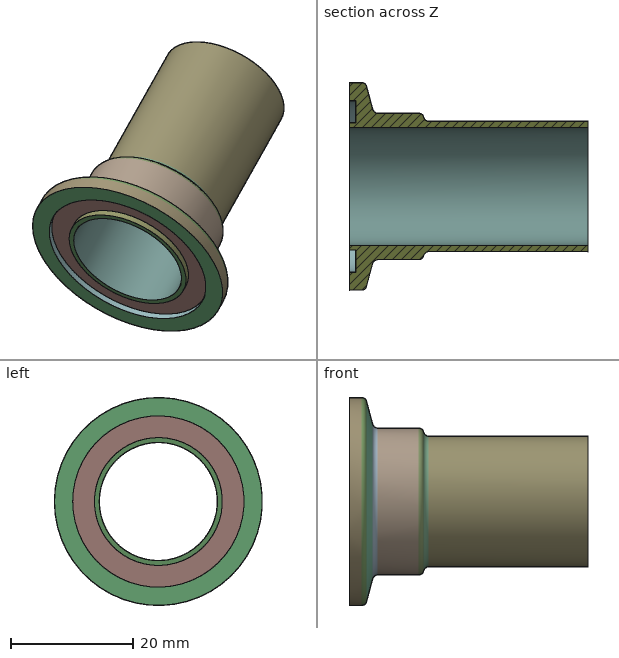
import cadquery as cq
import math

total_length = 39.0
rim_width = 2.0
shoulder_start = 11.3

flange_diameter = 34.0
hub_diameter = 24.02
tube_diameter = 21.37
bore_diameter = 19.25

recess_outer_diameter = 28.0
recess_inner_diameter = 20.9
recess_depth = 1.0

blend_radius = 0.85
back_angle = math.radians(15)

flange_radius = flange_diameter / 2
hub_radius = hub_diameter / 2
tube_radius = tube_diameter / 2


def arc_reach(angle):
    """Axial and radial extent of a blend arc that starts parallel to the axis."""
    return blend_radius * math.sin(angle), blend_radius * (1 - math.cos(angle))


back_turn = math.pi / 2 - back_angle
back_run, back_drop = arc_reach(back_turn)
cone_top = (rim_width + back_run, flange_radius - back_drop)
cone_bottom_radius = hub_radius + back_drop
cone_length = (cone_top[1] - cone_bottom_radius) * math.tan(back_angle)
cone_bottom = (cone_top[0] + cone_length, cone_bottom_radius)
hub_start = cone_bottom[0] + back_run

step_height = hub_radius - tube_radius
shoulder_turn = math.acos(1 - step_height / (2 * blend_radius))
shoulder_run, shoulder_drop = arc_reach(shoulder_turn)
shoulder_middle = (shoulder_start + shoulder_run, hub_radius - shoulder_drop)
tube_start = shoulder_start + 2 * shoulder_run


def make_body():
    """Revolve the outer profile about X."""
    profile = (
        cq.Workplane("XY")
        .moveTo(0, 0)
        .lineTo(0, flange_radius)
        .lineTo(rim_width, flange_radius)
        .tangentArcPoint(cone_top, relative=False)
        .lineTo(*cone_bottom)
        .tangentArcPoint((hub_start, hub_radius), relative=False)
        .lineTo(shoulder_start, hub_radius)
        .tangentArcPoint(shoulder_middle, relative=False)
        .tangentArcPoint((tube_start, tube_radius), relative=False)
        .lineTo(total_length, tube_radius)
        .lineTo(total_length, 0)
        .close()
    )
    return profile.revolve(360, (0, 0, 0), (1, 0, 0))


def make_bore():
    return cq.Workplane("YZ").circle(bore_diameter / 2).extrude(total_length)


def make_face_recess():
    return (
        cq.Workplane("YZ")
        .circle(recess_outer_diameter / 2)
        .circle(recess_inner_diameter / 2)
        .extrude(recess_depth)
    )


result = make_body().cut(make_bore()).cut(make_face_recess())